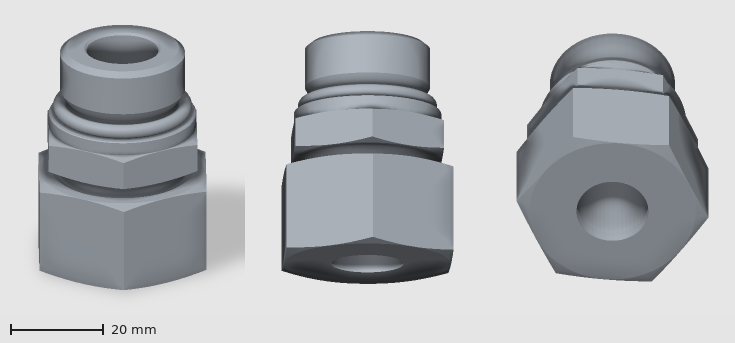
import cadquery as cq
import math


HEX_TURN = 7.4
HEX_HALF_ANGLE = 30
HEX_CHAMFER_ANGLE = 15

NUT_FLATS = 36.0
NUT_HEIGHT = 20.0
NUT_CHAMFER_DIA = 35.8
NUT_BORE_DIA = 27.85
NUT_MOUTH_DIA = 30.5
NUT_MOUTH_ANGLE = 25

BORE_DIA = 15.5
BODY_FLATS = 32.05
COLLAR_DIA = 31.8
RELIEF_DIA = 26.95
THREAD_DIA = 27.0
THREAD_TIP_DIA = 24.3

RELIEF_BOTTOM_Z = 19.85
HEX_BOTTOM_Z = 22.95
HEX_TOP_Z = 30.45
COLLAR_TOP_Z = 33.5
CONE_BOTTOM_Z = 36.5
THREAD_BOTTOM_Z = 39.07
THREAD_TOP_Z = 47.55
TOTAL_HEIGHT = 48.6

RELIEF_FILLET = 1.15
CONE_FILLET = 1.15
COLLAR_CHAMFER = 0.2
BORE_CHAMFER = 0.5

RING_OUTER_DIA = 30.0
RING_INNER_DIA = 24.0


def chamfered_hex(flats, chamfer_dia, bottom_z, top_z):
    """Hexagonal prism whose corners are turned off by a cone at both ends."""
    corner_dia = flats / math.cos(math.radians(HEX_HALF_ANGLE))
    height = top_z - bottom_z
    prism = (
        cq.Workplane("XY", origin=(0, 0, bottom_z))
        .polygon(6, corner_dia)
        .extrude(height)
        .rotate((0, 0, 0), (0, 0, 1), HEX_HALF_ANGLE + HEX_TURN)
    )
    end_radius = chamfer_dia / 2
    wide_radius = end_radius + height / 2 / math.tan(math.radians(HEX_CHAMFER_ANGLE))
    turned_envelope = (
        cq.Workplane("XZ")
        .polyline([
            (0, bottom_z),
            (end_radius, bottom_z),
            (wide_radius, (bottom_z + top_z) / 2),
            (end_radius, top_z),
            (0, top_z),
        ])
        .close()
        .revolve(360, (0, 0, 0), (0, 1, 0))
    )
    return prism.intersect(turned_envelope)


def fillet_point(angle):
    """Outward and axial offset on a relief fillet, at an angle from its tangent to the relief."""
    outward = RELIEF_FILLET * (1 - math.cos(angle))
    axial = RELIEF_FILLET * math.sin(angle)
    return outward, axial


def make_nut():
    """Hexagonal nut with a through bore, countersunk at the top."""
    bore_radius = NUT_BORE_DIA / 2
    mouth_radius = NUT_MOUTH_DIA / 2
    mouth_depth = (mouth_radius - bore_radius) * math.tan(math.radians(NUT_MOUTH_ANGLE))
    bore = (
        cq.Workplane("XZ")
        .polyline([
            (0, 0),
            (bore_radius, 0),
            (bore_radius, NUT_HEIGHT - mouth_depth),
            (mouth_radius, NUT_HEIGHT),
            (0, NUT_HEIGHT),
        ])
        .close()
        .revolve(360, (0, 0, 0), (0, 1, 0))
    )
    return chamfered_hex(NUT_FLATS, NUT_CHAMFER_DIA, 0, NUT_HEIGHT).cut(bore)


def make_shank():
    """Turned lower part that fills the nut and carries the undercut below the hexagon."""
    shank_radius = NUT_BORE_DIA / 2
    relief_radius = RELIEF_DIA / 2
    relief_top_z = HEX_BOTTOM_Z - RELIEF_FILLET
    lower_angle = math.acos(1 - (shank_radius - relief_radius) / RELIEF_FILLET)
    low_end = fillet_point(lower_angle)
    low_middle = fillet_point(lower_angle / 2)
    high_middle = fillet_point(math.pi / 4)
    return (
        cq.Workplane("XZ")
        .moveTo(0, 0)
        .lineTo(shank_radius, 0)
        .lineTo(shank_radius, RELIEF_BOTTOM_Z - low_end[1])
        .threePointArc(
            (relief_radius + low_middle[0], RELIEF_BOTTOM_Z - low_middle[1]),
            (relief_radius, RELIEF_BOTTOM_Z),
        )
        .lineTo(relief_radius, relief_top_z)
        .threePointArc(
            (relief_radius + high_middle[0], relief_top_z + high_middle[1]),
            (relief_radius + RELIEF_FILLET, HEX_BOTTOM_Z),
        )
        .lineTo(0, HEX_BOTTOM_Z)
        .close()
        .revolve(360, (0, 0, 0), (0, 1, 0))
    )


def make_stud():
    """Turned upper part: collar, O-ring seat, cone and thread blank with a chamfered tip."""
    collar_radius = COLLAR_DIA / 2
    seat_radius = RING_INNER_DIA / 2
    thread_radius = THREAD_DIA / 2
    profile = (
        cq.Workplane("XZ")
        .polyline([
            (0, HEX_TOP_Z),
            (collar_radius, HEX_TOP_Z),
            (collar_radius, COLLAR_TOP_Z - COLLAR_CHAMFER),
            (collar_radius - COLLAR_CHAMFER, COLLAR_TOP_Z),
            (seat_radius, COLLAR_TOP_Z),
            (seat_radius, CONE_BOTTOM_Z),
            (thread_radius, THREAD_BOTTOM_Z),
            (thread_radius, THREAD_TOP_Z),
            (THREAD_TIP_DIA / 2, TOTAL_HEIGHT),
            (0, TOTAL_HEIGHT),
        ])
        .close()
    )
    turned = profile.revolve(360, (0, 0, 0), (0, 1, 0))
    cone_foot = cq.selectors.NearestToPointSelector((0, 0, CONE_BOTTOM_Z))
    return turned.edges("%CIRCLE").edges(cone_foot).fillet(CONE_FILLET)


def make_bore():
    """Through passage, chamfered at its upper end."""
    radius = BORE_DIA / 2
    return (
        cq.Workplane("XZ")
        .polyline([
            (0, 0),
            (radius, 0),
            (radius, TOTAL_HEIGHT - BORE_CHAMFER),
            (radius + BORE_CHAMFER, TOTAL_HEIGHT),
            (0, TOTAL_HEIGHT),
        ])
        .close()
        .revolve(360, (0, 0, 0), (0, 1, 0))
    )


def make_fitting_body():
    """One-piece fitting: shank, hexagon and stud around a through passage."""
    hexagon = chamfered_hex(BODY_FLATS, COLLAR_DIA, HEX_BOTTOM_Z, HEX_TOP_Z)
    return make_shank().union(hexagon).union(make_stud()).cut(make_bore())


def make_o_ring():
    """Round-section ring that rests on the collar and fits the O-ring seat."""
    section_radius = (RING_OUTER_DIA - RING_INNER_DIA) / 4
    center_radius = (RING_OUTER_DIA + RING_INNER_DIA) / 4
    return (
        cq.Workplane("XZ")
        .center(center_radius, COLLAR_TOP_Z + section_radius)
        .circle(section_radius)
        .revolve(360, (-center_radius, 0, 0), (-center_radius, 1, 0))
    )


nut = make_nut()
fitting_body = make_fitting_body()
o_ring = make_o_ring()

result = cq.Compound.makeCompound([nut.solids().val(), fitting_body.solids().val(), o_ring.val()])